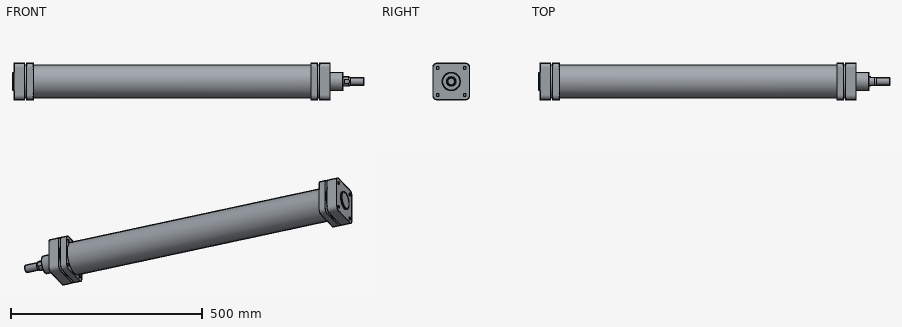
import cadquery as cq

overall_length = 916.0

plate_size = 96.0
corner_radius = 12.0
cap_thickness = 27.5
flange_thickness = 17.0
plate_gap = 5.5
flange_spacing = 724.0

bolt_pitch = 70.5
bolt_hole_diameter = 7.0
bolt_hole_depth = 4.0

boss_diameter = 48.0
boss_chamfer = 1.4
rear_boss_length = 4.0
front_boss_length = 34.0

barrel_diameter = 87.0
rod_diameter = 25.0
rod_flat_width = 22.0
rod_collar_length = 4.0
rod_flat_length = 10.0
rod_taper_length = 5.5
stud_diameter = 20.0
stud_chamfer = 1.4

rear_cap_start = rear_boss_length
rear_cap_end = rear_cap_start + cap_thickness
rear_flange_start = rear_cap_end + plate_gap
rear_flange_end = rear_flange_start + flange_thickness
front_flange_start = rear_flange_end + flange_spacing
front_flange_end = front_flange_start + flange_thickness
front_cap_start = front_flange_end + plate_gap
front_cap_end = front_cap_start + cap_thickness
front_boss_end = front_cap_end + front_boss_length
flats_start = front_boss_end + rod_collar_length
flats_end = flats_start + rod_flat_length
stud_start = flats_end + rod_taper_length


def cylinder(start, end, diameter):
    """Solid cylinder on the X axis between two stations."""
    return cq.Workplane("YZ", origin=(start, 0, 0)).circle(diameter / 2).extrude(end - start)


def square_plate(start, thickness, hole_side):
    """Square plate with rounded corners and a blind bolt hole in each corner.

    The holes open on the -X face when hole_side is -1 and on the +X face when it is 1.
    """
    plate = cq.Workplane("YZ", origin=(start, 0, 0)).rect(plate_size, plate_size).extrude(thickness)
    plate = plate.edges("|X").fillet(corner_radius)
    open_face = start if hole_side < 0 else start + thickness
    holes = (
        cq.Workplane("YZ", origin=(open_face, 0, 0))
        .rect(bolt_pitch, bolt_pitch, forConstruction=True)
        .vertices()
        .circle(bolt_hole_diameter / 2)
        .extrude(-hole_side * bolt_hole_depth)
    )
    return plate.cut(holes)


def make_rear_cap():
    """Rear plate with a low round boss on its outer face."""
    boss = cylinder(0, rear_cap_end, boss_diameter).faces("<X").chamfer(boss_chamfer)
    return square_plate(rear_cap_start, cap_thickness, -1).union(boss)


def make_flange(start, hole_side):
    """Square plate that fits round the barrel, its bolt holes facing the middle of the cylinder."""
    bore = cylinder(start, start + flange_thickness, barrel_diameter)
    return square_plate(start, flange_thickness, hole_side).cut(bore)


def make_barrel():
    """Barrel running from cap to cap through both flanges."""
    return cylinder(rear_cap_end, front_cap_start, barrel_diameter)


def make_front_cap():
    """Front plate with a long chamfered boss, bored through for the rod."""
    boss = cylinder(front_cap_start, front_boss_end, boss_diameter).faces(">X").chamfer(boss_chamfer)
    bore = cylinder(front_cap_start, front_boss_end, rod_diameter)
    return square_plate(front_cap_start, cap_thickness, 1).union(boss).cut(bore)


def make_rod():
    """Round rod with two wrench flats, tapering down to a chamfered stud."""
    rod_radius = rod_diameter / 2
    stud_radius = stud_diameter / 2
    profile = [
        (front_cap_start, 0),
        (front_cap_start, rod_radius),
        (flats_end, rod_radius),
        (stud_start, stud_radius),
        (overall_length - stud_chamfer, stud_radius),
        (overall_length, stud_radius - stud_chamfer),
        (overall_length, 0),
    ]
    rod = cq.Workplane("XY").polyline(profile).close().revolve(360, (0, 0, 0), (1, 0, 0))
    flat_depth = (rod_diameter - rod_flat_width) / 2
    for side in (-1, 1):
        flat_cut = cq.Workplane("XY").box(
            stud_start - flats_start, flat_depth, rod_diameter, centered=(False, True, True)
        )
        rod = rod.cut(flat_cut.translate((flats_start, side * (rod_flat_width + flat_depth) / 2, 0)))
    return rod


rear_cap = make_rear_cap()
flanges = [make_flange(start, side) for start, side in ((rear_flange_start, 1), (front_flange_start, -1))]
barrel = make_barrel()
front_cap = make_front_cap()
rod = make_rod()

result = cq.Compound.makeCompound(
    [rear_cap.val(), *[flange.val() for flange in flanges], barrel.val(), front_cap.val(), rod.val()]
)